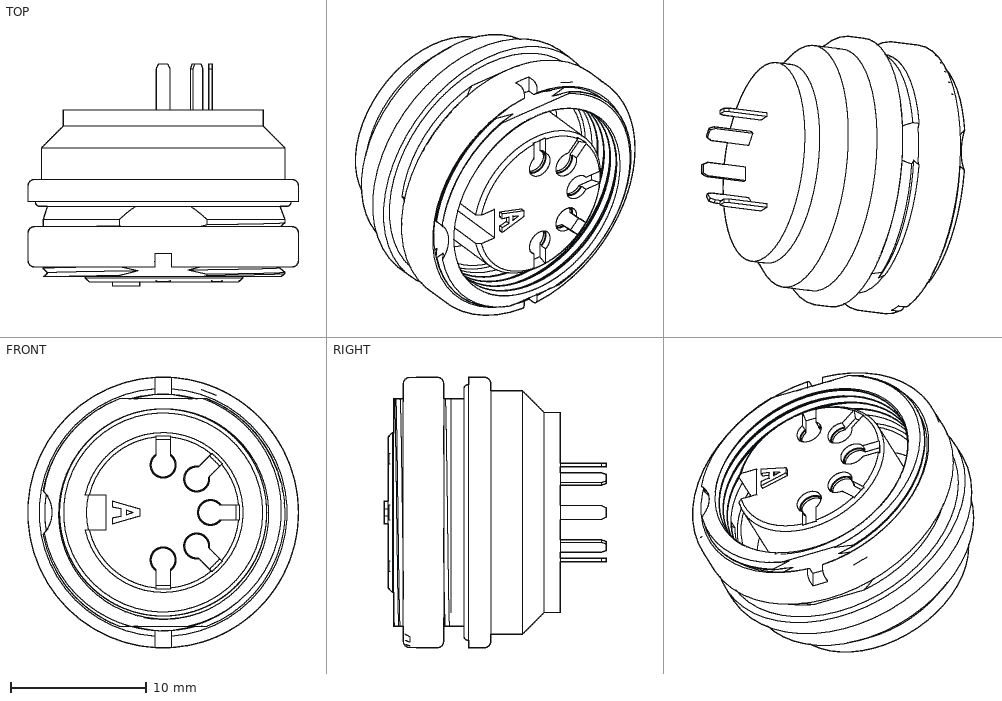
import cadquery as cq

SLEEVE_RADIUS = 9.0
SLEEVE_TAPER_START = 4.22
SLEEVE_BACK_RADIUS = 8.65
FLAT_HEIGHT = 8.4
KEYWAY_RADIUS = 2.3
KEYWAY_BOTTOM = 8.2
OUTER_ROOT_RADIUS = 8.6
OUTER_PITCH = 0.75
OUTER_THREAD_END = 4.02

THREADED_BORE_RADIUS = 15.3 / 2
THREADED_BORE_DEPTH = 4.0
BORE_RADIUS = 14.7 / 2
BORE_DEPTH = 7.0
INNER_ROOT_RADIUS = 7.9
INNER_PITCH = 0.75
INNER_THREAD_END = 3.25

THREAD_HALF_WIDTH = 0.48
MOUTH_EXCESS = 0.1
OVERRUN = 2.0

NUT_RADIUS = 10.0
NUT_FRONT = 0.7
NUT_LENGTH = 3.0
NUT_BORE_RADIUS = 8.75
NUT_MOUTH_RADIUS = 18.3 / 2
NUT_SLOT_WIDTH = 1.2
NUT_SLOT_DEPTH = 1.0
EDGE_ROUND = 0.5

GASKET_FRONT = 5.18
GASKET_RADIUS = 18.9 / 2
GASKET_ROUND = 0.32
FLANGE_FRONT = 5.55
FLANGE_BACK = 7.18
FLANGE_RADIUS = 10.0
BODY_RADIUS = 9.0
BODY_TAPER_START = 9.5
TAIL_RADIUS = 7.4
TAIL_START = BODY_TAPER_START + BODY_RADIUS - TAIL_RADIUS
TAIL_END = 12.3

INSERT_RADIUS = 5.9
INSERT_FRONT = -0.4
INSERT_CHAMFER = 0.3
KEY_SLOT_WIDTH = 2.55
KEY_SLOT_END = 4.22
KEY_SLOT_EXTRA_DEPTH = 0.4
CORE_RADIUS = 5.65
CONTACT_ANGLES = (-90, -45, 0, 45, 90)
CONTACT_CIRCLE = 3.5
SOCKET_RADIUS = 0.95
SOCKET_INNER_RADIUS = 0.88
SOCKET_STEP_DEPTH = 0.5
SOCKET_DEPTH = 0.7
CONTACT_SLOT_WIDTH = 1.08
CONTACT_SLOT_END = 5.65
CONTACT_SLOT_FLOOR_END = 5.38

PIN_WIDTH = 1.05
PIN_THICKNESS = 0.28
PIN_END = 15.7
PIN_TIP_LENGTH = 0.35
PIN_TIP_WIDTH = 0.68

LETTER_HEIGHT = 0.3
LETTER_FOOT = -3.75
LETTER_FOOT_OUTER = 0.85
LETTER_FOOT_INNER = 0.4
LETTER_NOTCH = -3.1
LETTER_NOTCH_HALF = 0.28
LETTER_EYE_BASE = -2.72
LETTER_EYE_HALF = 0.18
LETTER_EYE_TIP = -2.25
LETTER_TOP = -1.72
LETTER_TOP_HALF = 0.25


def revolved(profile):
    """Closed (radius, y) polygon turned about the Y axis."""
    return cq.Workplane("XY").polyline(profile).close().revolve(360, (0, 0, 0), (0, 1, 0))


def cylinder(radius, front, back):
    return revolved([(0, front), (radius, front), (radius, back), (0, back)])


def box(x_range, y_range, z_range):
    size = [high - low for low, high in (x_range, y_range, z_range)]
    center = [(high + low) / 2 for low, high in (x_range, y_range, z_range)]
    return cq.Workplane("XY").box(*size).translate(tuple(center))


def helical_groove(root_radius, open_radius, pitch, back):
    """Right-handed V groove, running from Y = back at the -X side out past the sleeve front."""
    length = back + pitch
    half_width = THREAD_HALF_WIDTH * pitch
    path = cq.Workplane(obj=cq.Wire.makeHelix(pitch, length, open_radius))
    mouth = open_radius + MOUTH_EXCESS * (open_radius - root_radius)
    groove = (
        cq.Workplane("XZ")
        .polyline([(root_radius, 0), (mouth, half_width), (mouth, -half_width)])
        .close()
        .sweep(path, isFrenet=True)
    )
    groove = groove.rotate((0, 0, 0), (0, 0, 1), 180)
    return groove.rotate((0, 0, 0), (1, 0, 0), 90).translate((0, back, 0))


def make_threaded_tube():
    """Tube with both threads, overlong at the ends so that the sleeve outline trims it."""
    front = -OVERRUN
    back = GASKET_FRONT + OVERRUN
    tube = cylinder(SLEEVE_RADIUS, front, back).cut(cylinder(BORE_RADIUS, front, back))
    tube = tube.cut(cylinder(THREADED_BORE_RADIUS, front, THREADED_BORE_DEPTH))
    tube = tube.cut(helical_groove(OUTER_ROOT_RADIUS, SLEEVE_RADIUS, OUTER_PITCH, OUTER_THREAD_END))
    return tube.cut(helical_groove(INNER_ROOT_RADIUS, THREADED_BORE_RADIUS, INNER_PITCH, INNER_THREAD_END))


def make_sleeve():
    outline = revolved([
        (0, 0),
        (SLEEVE_RADIUS, 0),
        (SLEEVE_RADIUS, SLEEVE_TAPER_START),
        (SLEEVE_BACK_RADIUS, GASKET_FRONT),
        (0, GASKET_FRONT),
    ])
    flats = box((-SLEEVE_RADIUS, SLEEVE_RADIUS), (0, GASKET_FRONT), (-FLAT_HEIGHT, FLAT_HEIGHT))
    keyway = cylinder(KEYWAY_RADIUS, 0, GASKET_FRONT).translate((-KEYWAY_BOTTOM - KEYWAY_RADIUS, 0, 0))
    return make_threaded_tube().intersect(outline).intersect(flats).cut(keyway)


def make_nut():
    back = NUT_FRONT + NUT_LENGTH
    mouth_depth = NUT_MOUTH_RADIUS - NUT_BORE_RADIUS
    nut = cylinder(NUT_RADIUS, NUT_FRONT, back).faces("<Y or >Y").edges().fillet(EDGE_ROUND)
    nut = nut.cut(cylinder(NUT_BORE_RADIUS, NUT_FRONT, back))
    nut = nut.cut(revolved([
        (0, NUT_FRONT),
        (NUT_MOUTH_RADIUS, NUT_FRONT),
        (NUT_BORE_RADIUS, NUT_FRONT + mouth_depth),
        (0, NUT_FRONT + mouth_depth),
    ]))
    return nut.cut(box(
        (-NUT_SLOT_WIDTH / 2, NUT_SLOT_WIDTH / 2),
        (NUT_FRONT, NUT_FRONT + NUT_SLOT_DEPTH),
        (-NUT_RADIUS, NUT_RADIUS),
    ))


def make_body():
    gasket = cylinder(GASKET_RADIUS, GASKET_FRONT, FLANGE_FRONT).faces("<Y").edges().fillet(GASKET_ROUND)
    flange = cylinder(FLANGE_RADIUS, FLANGE_FRONT, FLANGE_BACK).faces(">Y").edges().fillet(EDGE_ROUND)
    rear = revolved([
        (0, FLANGE_BACK),
        (BODY_RADIUS, FLANGE_BACK),
        (BODY_RADIUS, BODY_TAPER_START),
        (TAIL_RADIUS, TAIL_START),
        (TAIL_RADIUS, TAIL_END),
        (0, TAIL_END),
    ])
    return gasket.union(flange).union(rear)


def make_contact_opening():
    """Keyhole for the contact at angle 0: stepped socket plus a slot with a sloped outer end."""
    step = INSERT_FRONT + SOCKET_STEP_DEPTH
    floor = INSERT_FRONT + SOCKET_DEPTH
    socket = cylinder(SOCKET_RADIUS, INSERT_FRONT, step).union(cylinder(SOCKET_INNER_RADIUS, step, floor))
    slot = (
        cq.Workplane("XY")
        .polyline([
            (CONTACT_CIRCLE, INSERT_FRONT),
            (CONTACT_SLOT_END, INSERT_FRONT),
            (CONTACT_SLOT_FLOOR_END, floor),
            (CONTACT_CIRCLE, floor),
        ])
        .close()
        .extrude(CONTACT_SLOT_WIDTH / 2, both=True)
    )
    return socket.translate((CONTACT_CIRCLE, 0, 0)).union(slot)


def make_letter():
    """Letter A lying on its side, feet towards -X."""
    outline = [
        (LETTER_TOP, -LETTER_TOP_HALF),
        (LETTER_FOOT, -LETTER_FOOT_OUTER),
        (LETTER_FOOT, -LETTER_FOOT_INNER),
        (LETTER_NOTCH, -LETTER_NOTCH_HALF),
        (LETTER_NOTCH, LETTER_NOTCH_HALF),
        (LETTER_FOOT, LETTER_FOOT_INNER),
        (LETTER_FOOT, LETTER_FOOT_OUTER),
        (LETTER_TOP, LETTER_TOP_HALF),
    ]
    eye = [(LETTER_EYE_TIP, 0), (LETTER_EYE_BASE, LETTER_EYE_HALF), (LETTER_EYE_BASE, -LETTER_EYE_HALF)]
    face = cq.Workplane("XZ", origin=(0, INSERT_FRONT, 0))
    return face.polyline(outline).close().polyline(eye).close().extrude(LETTER_HEIGHT)


def make_insert():
    insert = cylinder(INSERT_RADIUS, INSERT_FRONT, BORE_DEPTH).faces("<Y").edges().chamfer(INSERT_CHAMFER)
    opening = make_contact_opening()
    for angle in CONTACT_ANGLES:
        insert = insert.cut(opening.rotate((0, 0, 0), (0, 1, 0), angle))
    return insert.union(make_letter())


def make_key_slot():
    """Slot in the -X side of the insert; past the cavity floor it stays within the core radius."""
    end = BORE_DEPTH + KEY_SLOT_EXTRA_DEPTH
    half = KEY_SLOT_WIDTH / 2
    slot = box((-INSERT_RADIUS, -KEY_SLOT_END), (INSERT_FRONT, BORE_DEPTH), (-half, half))
    pocket = box((-INSERT_RADIUS, -KEY_SLOT_END), (BORE_DEPTH, end), (-half, half))
    return slot.union(pocket.intersect(cylinder(CORE_RADIUS, BORE_DEPTH, end)))


def make_pin():
    """Flat solder pin for the contact at angle 0, with a narrowed tip."""
    half = PIN_WIDTH / 2
    half_tip = PIN_TIP_WIDTH / 2
    shoulder = PIN_END - PIN_TIP_LENGTH
    return (
        cq.Workplane("YZ", origin=(CONTACT_CIRCLE - PIN_THICKNESS / 2, 0, 0))
        .polyline([
            (TAIL_END, -half),
            (shoulder, -half),
            (PIN_END, -half_tip),
            (PIN_END, half_tip),
            (shoulder, half),
            (TAIL_END, half),
        ])
        .close()
        .extrude(PIN_THICKNESS)
    )


body = make_body().cut(cylinder(BORE_RADIUS, 0, BORE_DEPTH))
result = body.union(make_sleeve()).union(make_nut()).union(make_insert()).cut(make_key_slot())
for contact_angle in CONTACT_ANGLES:
    result = result.union(make_pin().rotate((0, 0, 0), (0, 1, 0), contact_angle))